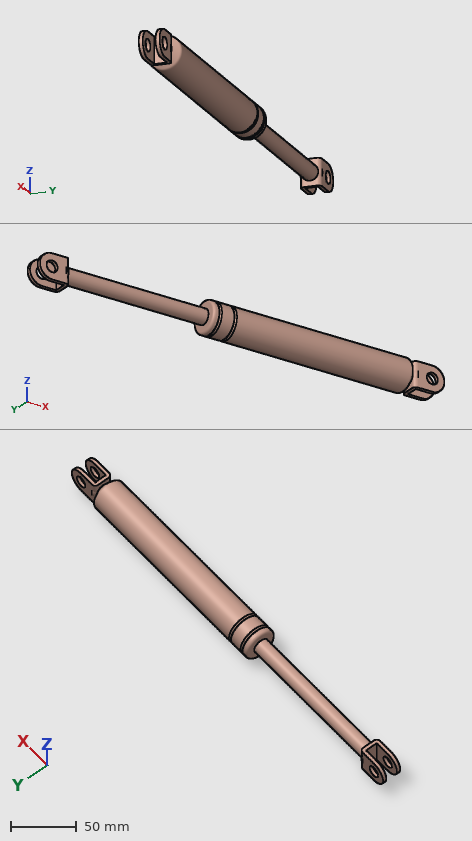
import cadquery as cq
import math

total_length = 371.0
housing_start = 156.0

eye_radius = 11.0
eye_hole_diameter = 10.0
clevis_length = 27.5
clevis_width = 17.0
clevis_wall = 3.5
bend_radius = 3.5
boss_rounding = 3.0
boss_radius = 9.0

rod_radius = 6.5

housing_radius = 14.0
nose_radius = 2.2
groove_width = 2.2
groove_depth = 1.0
groove_centers = [162.0, 176.0]

tube_end = 337.0
shoulder_radius = 2.5
cone_angle = math.radians(57)


def make_clevis():
    """Fork with its eye at the origin end, tip at X = 0 and back wall at X = clevis_length."""
    block_length = clevis_length - eye_radius
    fork = (
        cq.Workplane("XY")
        .box(block_length, clevis_width, 2 * eye_radius, centered=(False, True, True))
        .translate((eye_radius, 0, 0))
        .edges(">X and |Z")
        .fillet(bend_radius)
    )
    eye_plane = cq.Workplane("XZ", origin=(eye_radius, 0, 0))
    eye = eye_plane.circle(eye_radius).extrude(clevis_width / 2, both=True)
    eye_hole = eye_plane.circle(eye_hole_diameter / 2).extrude(clevis_width, both=True)
    slot = cq.Workplane("XY").box(
        clevis_length - clevis_wall,
        clevis_width - 2 * clevis_wall,
        2 * eye_radius,
        centered=(False, True, True),
    )
    boss = (
        cq.Workplane("YZ", origin=(clevis_length - clevis_wall, 0, 0))
        .circle(boss_radius)
        .extrude(clevis_wall)
        .faces(">X")
        .edges()
        .fillet(boss_rounding)
    )
    return fork.union(eye).cut(eye_hole).cut(slot).union(boss)


def make_piston_rod():
    """Rod from the inside of the clevis wall to the housing face, with its clevis."""
    rod_start = clevis_length - clevis_wall
    rod = (
        cq.Workplane("YZ", origin=(rod_start, 0, 0))
        .circle(rod_radius)
        .extrude(housing_start - rod_start)
    )
    return make_clevis().union(rod)


def make_housing():
    """Revolved tube with rolled grooves and a tapered closed end, with its clevis."""
    shoulder_mid = cone_angle / 2

    def shoulder_point(angle):
        return (
            tube_end + shoulder_radius * math.sin(angle),
            housing_radius - shoulder_radius * (1 - math.cos(angle)),
        )

    cone_start = shoulder_point(cone_angle)
    cone_end_x = total_length - clevis_length
    cone_end_radius = cone_start[1] - (cone_end_x - cone_start[0]) * math.tan(cone_angle)

    profile = (
        cq.Workplane("XY")
        .moveTo(housing_start, 0)
        .lineTo(housing_start, housing_radius - nose_radius)
        .radiusArc((housing_start + nose_radius, housing_radius), nose_radius)
    )
    for center in groove_centers:
        profile = (
            profile.lineTo(center - groove_width / 2, housing_radius)
            .threePointArc(
                (center, housing_radius - groove_depth),
                (center + groove_width / 2, housing_radius),
            )
        )
    tube = (
        profile.lineTo(tube_end, housing_radius)
        .threePointArc(shoulder_point(shoulder_mid), cone_start)
        .lineTo(cone_end_x, cone_end_radius)
        .lineTo(cone_end_x + clevis_wall, cone_end_radius)
        .lineTo(cone_end_x + clevis_wall, 0)
        .close()
        .revolve(360, (0, 0, 0), (1, 0, 0))
    )
    end_clevis = make_clevis().mirror("YZ").translate((total_length, 0, 0))
    return tube.union(end_clevis)


piston_rod = make_piston_rod()
housing = make_housing()

result = cq.Compound.makeCompound([piston_rod.val(), housing.val()])